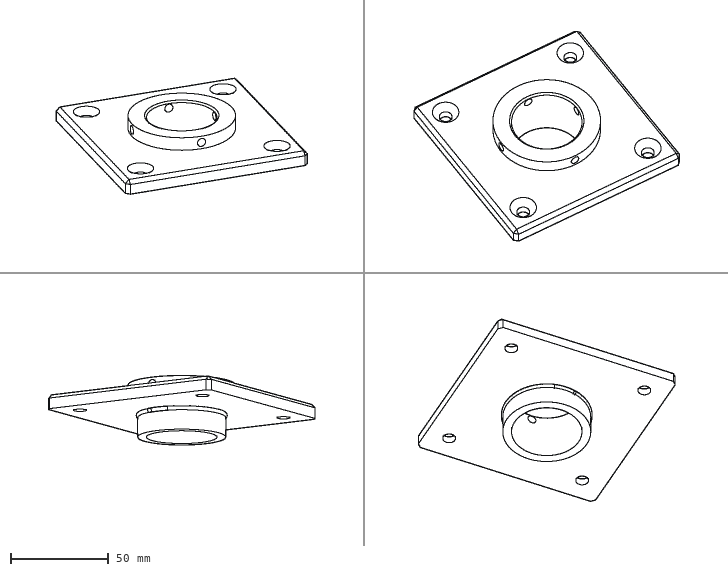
import cadquery as cq

PLATE_SIDE = 100.0
PLATE_THICKNESS = 7.5
PLATE_CHAMFER = 2.0
SEAT_CHAMFER = 0.6
SCREW_SPACING = 75.0
SCREW_HOLE_DIAMETER = 6.5
COUNTERSINK_DIAMETER = 13.5
COUNTERSINK_ANGLE = 90.0

OVERALL_HEIGHT = 27.0
SLEEVE_RADIUS = 22.5
SLEEVE_PROJECTION = 12.0
SLEEVE_TOP = OVERALL_HEIGHT - SLEEVE_PROJECTION
BORE_RADIUS = 18.0
BORE_CHAMFER = 1.0
FLANGE_RADIUS = 27.5
FLANGE_CLEARANCE = 0.5
FLANGE_BOTTOM = PLATE_THICKNESS + FLANGE_CLEARANCE
CROSS_HOLE_DIAMETER = 4.4
CROSS_HOLE_LEVEL = (FLANGE_BOTTOM + SLEEVE_TOP) / 2

WIRE_DIAMETER = 2.5
RING_RADIUS = 22.0
RING_BOTTOM = -2.0
RING_LEVEL = RING_BOTTOM + WIRE_DIAMETER / 2
RING_GAP_ANGLE = 30.0
HALF_WIRE_ANGLE = (360.0 - RING_GAP_ANGLE) / 2
RING_JOINT_ANGLE = -90.0


def sweep_wire(angle):
    """Round wire swept about Z through the given angle, starting at +X."""
    return (
        cq.Workplane("XZ")
        .center(RING_RADIUS, RING_LEVEL)
        .circle(WIRE_DIAMETER / 2)
        .revolve(angle, (-RING_RADIUS, 0), (-RING_RADIUS, 1))
    )


def make_plate():
    plate = (
        cq.Workplane("XY")
        .rect(PLATE_SIDE, PLATE_SIDE)
        .extrude(PLATE_THICKNESS)
        .edges("|Z or >Z")
        .chamfer(PLATE_CHAMFER)
    )

    plate = plate.faces(">Z").workplane().hole(2 * SLEEVE_RADIUS)
    plate = plate.faces("<Z").edges("%CIRCLE").chamfer(SEAT_CHAMFER)

    return (
        plate.faces(">Z")
        .workplane()
        .rect(SCREW_SPACING, SCREW_SPACING, forConstruction=True)
        .vertices()
        .cskHole(SCREW_HOLE_DIAMETER, COUNTERSINK_DIAMETER, COUNTERSINK_ANGLE)
    )


def make_sleeve():
    tube = (
        cq.Workplane("XY", origin=(0, 0, -SLEEVE_PROJECTION))
        .circle(SLEEVE_RADIUS)
        .extrude(OVERALL_HEIGHT)
    )
    flange = (
        cq.Workplane("XY", origin=(0, 0, FLANGE_BOTTOM))
        .circle(FLANGE_RADIUS)
        .extrude(SLEEVE_TOP - FLANGE_BOTTOM)
    )
    sleeve = tube.union(flange)

    sleeve = sleeve.faces(">Z").workplane().hole(2 * BORE_RADIUS)
    bore_mouth = cq.selectors.RadiusNthSelector(0)
    sleeve = sleeve.faces(">Z").edges(bore_mouth).chamfer(BORE_CHAMFER)

    sleeve = sleeve.cut(sweep_wire(360.0))

    for plane in ("XZ", "YZ"):
        drill = (
            cq.Workplane(plane)
            .center(0, CROSS_HOLE_LEVEL)
            .circle(CROSS_HOLE_DIAMETER / 2)
            .extrude(FLANGE_RADIUS, both=True)
        )
        sleeve = sleeve.cut(drill)
    return sleeve


def make_half_wire(start_angle):
    return sweep_wire(HALF_WIRE_ANGLE).rotate((0, 0, 0), (0, 0, 1), start_angle)


plate = make_plate()
sleeve = make_sleeve()
half_wires = [
    make_half_wire(start_angle)
    for start_angle in (RING_JOINT_ANGLE - HALF_WIRE_ANGLE, RING_JOINT_ANGLE)
]

result = cq.Compound.makeCompound(
    [body.solids().val() for body in (plate, sleeve, *half_wires)]
)